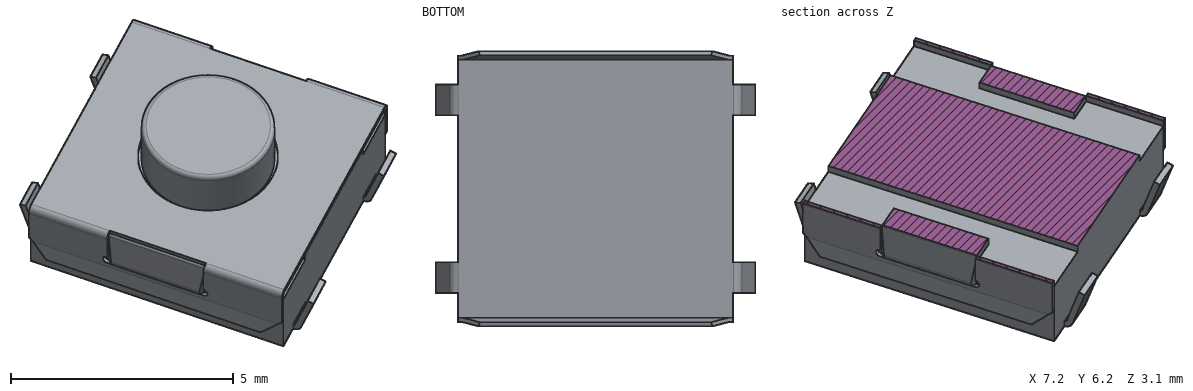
import cadquery as cq
import math

base_length = 6.2
base_width = 5.8
base_height = 1.9

sheet = 0.1
inner_bend = 0.05
outer_bend = inner_bend + sheet
cover_top = base_height + sheet
cover_half_width = base_width / 2 + sheet
flare_start = 0.88
flare_bottom = 0.5
flare_half_width = 3.1
corner_cut_start = 0.97

window_width = 2.36
window_bottom = 1.0
relief_radius = 0.1
snap_land = 0.08

recess_floor = 1.7
recess_inner_y = 1.65
recess_outer_y = 2.27
ledge_length = window_width

button_diameter = 3.0
button_top = 3.1
button_fillet = 0.1
button_hole_diameter = 3.15

lead_width = 0.7
lead_spacing = 4.0
lead_thickness = 0.15
lead_inner_bend = 0.05
lead_outer_bend = lead_inner_bend + lead_thickness
lead_angle = 17.0
lead_reach = 3.6


def make_block():
    block = cq.Workplane("XY").box(base_length, base_width, base_height, centered=(True, True, False))
    return block.faces(">Z").edges("|X").fillet(inner_bend)


def make_recess(side):
    """Channel along X, opening out to the side wall beyond the ends of a central ledge."""
    depth = base_height - recess_floor
    full_width = base_width / 2 - recess_inner_y
    ledge_width = base_width / 2 - recess_outer_y
    recess = (
        cq.Workplane("XY", origin=(0, side * (recess_inner_y + full_width / 2), recess_floor))
        .box(base_length, full_width, depth, centered=(True, True, False))
    )
    ledge = (
        cq.Workplane("XY", origin=(0, side * (recess_outer_y + ledge_width / 2), recess_floor))
        .box(ledge_length, ledge_width, depth, centered=(True, True, False))
    )
    return recess.cut(ledge)


def make_snap(side):
    """Ramp that fills the cover window, with a flat bottom and ends sloped at 45 degrees."""
    wall = side * base_width / 2
    crest = side * cover_half_width
    ramp = (
        cq.Workplane("YZ")
        .polyline([
            (wall, base_height - inner_bend),
            (crest, window_bottom + snap_land),
            (crest, window_bottom),
            (wall, window_bottom),
        ])
        .close()
        .extrude(window_width / 2, both=True)
    )
    sloped_ends = (
        cq.Workplane("XY")
        .polyline([
            (-window_width / 2, wall),
            (window_width / 2, wall),
            (window_width / 2 - sheet, crest),
            (-window_width / 2 + sheet, crest),
        ])
        .close()
        .extrude(base_height)
    )
    return ramp.intersect(sloped_ends)


def make_lead(side_x, side_y):
    """Strip leaving the base at its bottom edge and bending up and outwards."""
    lean = math.radians(lead_angle)
    bend_x = base_length / 2
    bend_z = lead_outer_bend

    def on_bend(radius, angle):
        return (side_x * (bend_x + radius * math.cos(angle)), bend_z - radius * math.sin(angle))

    middle = (lean + math.pi / 2) / 2
    outer_end = on_bend(lead_outer_bend, lean)
    inner_end = on_bend(lead_inner_bend, lean)
    rise_x = lead_reach - side_x * outer_end[0]
    rise_z = rise_x / math.tan(lean)
    outer_tip = (outer_end[0] + side_x * rise_x, outer_end[1] + rise_z)
    inner_tip = (inner_end[0] + side_x * rise_x, inner_end[1] + rise_z)
    root_x = side_x * (bend_x - lead_thickness)
    return (
        cq.Workplane("XZ", origin=(0, side_y * lead_spacing / 2, 0))
        .moveTo(root_x, 0)
        .lineTo(side_x * bend_x, 0)
        .threePointArc(on_bend(lead_outer_bend, middle), outer_end)
        .lineTo(*outer_tip)
        .lineTo(*inner_tip)
        .lineTo(*inner_end)
        .threePointArc(on_bend(lead_inner_bend, middle), (side_x * bend_x, lead_thickness))
        .lineTo(root_x, lead_thickness)
        .close()
        .extrude(lead_width / 2, both=True)
    )


def make_button():
    return (
        cq.Workplane("XY", origin=(0, 0, recess_floor))
        .circle(button_diameter / 2)
        .extrude(button_top - recess_floor)
        .faces(">Z")
        .edges()
        .fillet(button_fillet)
    )


def make_base():
    base = make_block()
    for side_y in (-1, 1):
        base = base.cut(make_recess(side_y)).union(make_snap(side_y))
        for side_x in (-1, 1):
            base = base.union(make_lead(side_x, side_y))
    return base.union(make_button())


def make_cover_shell():
    """Bent sheet: flat top, rounded bends, vertical walls and lips flared out at the bottom."""
    envelope = (
        cq.Workplane("XY", origin=(0, 0, flare_start))
        .box(base_length, 2 * cover_half_width, cover_top - flare_start, centered=(True, True, False))
        .faces(">Z")
        .edges("|X")
        .fillet(outer_bend)
    )
    shell = envelope.cut(make_block())
    for side in (-1, 1):
        shell = shell.union(make_flare(side))
    return shell


def make_flare(side):
    lean = math.atan((flare_half_width - cover_half_width) / (flare_start - flare_bottom))
    outer_tip_y = flare_half_width
    inner_tip_y = outer_tip_y - sheet * math.cos(lean)
    inner_tip_z = flare_bottom - sheet * math.sin(lean)
    return (
        cq.Workplane("YZ")
        .polyline([
            (side * cover_half_width, flare_start),
            (side * outer_tip_y, flare_bottom),
            (side * inner_tip_y, inner_tip_z),
            (side * base_width / 2, flare_start),
        ])
        .close()
        .extrude(base_length / 2, both=True)
    )


def make_corner_cut(side):
    """45 degree cut through both walls, across the lower corner at one end of the cover."""
    end_x = side * base_length / 2
    return (
        cq.Workplane("XZ")
        .polyline([
            (end_x, corner_cut_start),
            (end_x - side * corner_cut_start, 0),
            (end_x, 0),
        ])
        .close()
        .extrude(base_length, both=True)
    )


def make_window(side):
    """Opening in one wall, from the relief holes at its bottom corners up through the bend."""
    depth = outer_bend
    height = cover_top - window_bottom
    middle_y = side * (cover_half_width - depth / 2)
    window = (
        cq.Workplane("XY", origin=(0, middle_y, window_bottom))
        .box(window_width, depth, height, centered=(True, True, False))
    )
    relief_holes = (
        cq.Workplane("XZ", origin=(0, middle_y, window_bottom + relief_radius))
        .pushPoints([(-window_width / 2, 0), (window_width / 2, 0)])
        .circle(relief_radius)
        .extrude(depth / 2, both=True)
    )
    return window.union(relief_holes)


def make_cover():
    button_hole = cq.Workplane("XY").circle(button_hole_diameter / 2).extrude(cover_top)
    cover = make_cover_shell().cut(button_hole)
    for side in (-1, 1):
        cover = cover.cut(make_corner_cut(side)).cut(make_window(side))
    return cover


base = make_base()
cover = make_cover()
result = cq.Compound.makeCompound([base.val(), cover.val()])